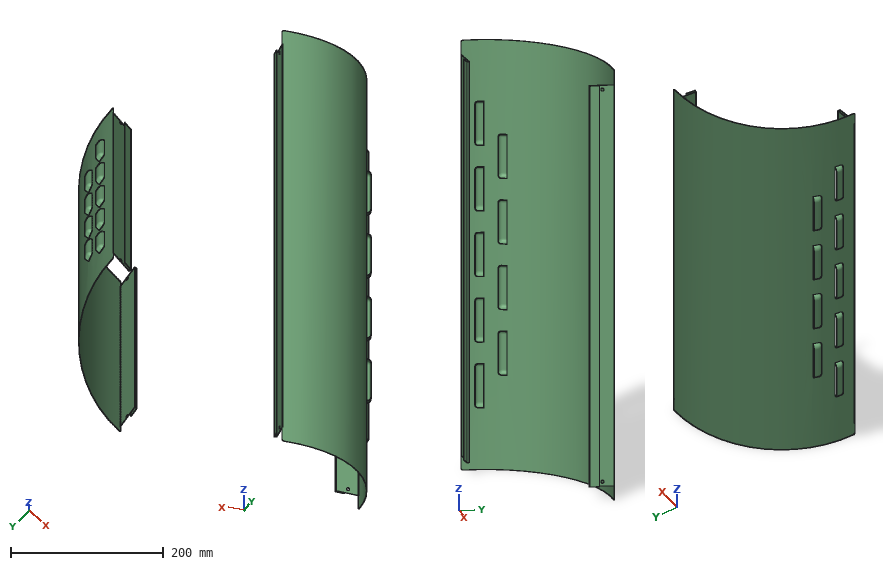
import cadquery as cq
import math

sheet = 0.8
shell_radius = 171.61
shell_height = 590.0
shell_corner_radius = 3.0

flange_height = 550.0
flange_length = 33.5
flange_tilt = 7.6
hem_gap = 2.3
hem_edge = 20.0

hole_diameter = 4.0
hole_from_edge = 16.0
hole_from_end = 6.0

louver_length = 61.0
louver_width = 12.0
louver_rise = 5.65
louver_round = 6.3
louver_corner = 4.5
louver_pitch = 90.0
louver_root = 2.0
louver_columns = [(8.1, 5), (18.3, 4)]


def make_shell():
    inner_radius = shell_radius - sheet
    diagonal = math.sqrt(0.5)
    shell = (
        cq.Workplane("XY")
        .moveTo(-shell_radius, 0)
        .threePointArc((-shell_radius * diagonal, shell_radius * diagonal), (0, shell_radius))
        .lineTo(0, inner_radius)
        .threePointArc((-inner_radius * diagonal, inner_radius * diagonal), (-inner_radius, 0))
        .close()
        .extrude(shell_height / 2, both=True)
    )
    return shell.edges("|X or |Y").fillet(shell_corner_radius)


def make_flange():
    """Flange with an outward hem on the shell edge at (-shell_radius, 0)."""
    flange = (
        cq.Workplane("XY")
        .moveTo(0, 0)
        .lineTo(flange_length - sheet, 0)
        .lineTo(flange_length - sheet, -hem_gap)
        .lineTo(hem_edge, -hem_gap)
        .lineTo(hem_edge, -hem_gap - sheet)
        .lineTo(flange_length, -hem_gap - sheet)
        .lineTo(flange_length, sheet)
        .lineTo(0, sheet)
        .close()
        .extrude(flange_height / 2, both=True)
    )
    hole_z = flange_height / 2 - hole_from_end
    holes = (
        cq.Workplane("XZ")
        .pushPoints([(hole_from_edge, hole_z), (hole_from_edge, -hole_z)])
        .circle(hole_diameter / 2)
        .extrude(2 * sheet, both=True)
    )
    flange = flange.cut(holes)
    return flange.rotate((0, 0, 0), (0, 0, 1), flange_tilt).translate((-shell_radius, 0, 0))


def make_hood(inset):
    """Louver block, shrunk by inset on its closed sides; -X is outward and +Y is the open side."""
    rise = louver_rise - inset
    length = louver_length - 2 * inset
    width = louver_width - inset
    return (
        cq.Workplane("XY")
        .box(rise + louver_root, width, length)
        .edges("<X and (not >Y)")
        .fillet(louver_round - inset)
        .edges("|X and <Y")
        .fillet(louver_corner - inset)
        .translate(((louver_root - rise) / 2, inset / 2, 0))
    )


def place_louver(hood, angle, z):
    return hood.translate((-shell_radius, 0, z)).rotate((0, 0, 0), (0, 0, 1), -angle)


def add_louvers(body):
    shell_bore = cq.Workplane("XY").circle(shell_radius - sheet).extrude(shell_height / 2, both=True)
    hood = make_hood(0)
    cavity = make_hood(sheet)
    for angle, count in louver_columns:
        for index in range(count):
            z = (index - (count - 1) / 2) * louver_pitch
            body = body.union(place_louver(hood, angle, z).cut(shell_bore))
            body = body.cut(place_louver(cavity, angle, z))
    return body


flange = make_flange()
opposite_flange = flange.mirror(cq.Vector(1, 1, 0))
result = add_louvers(make_shell().union(flange).union(opposite_flange))